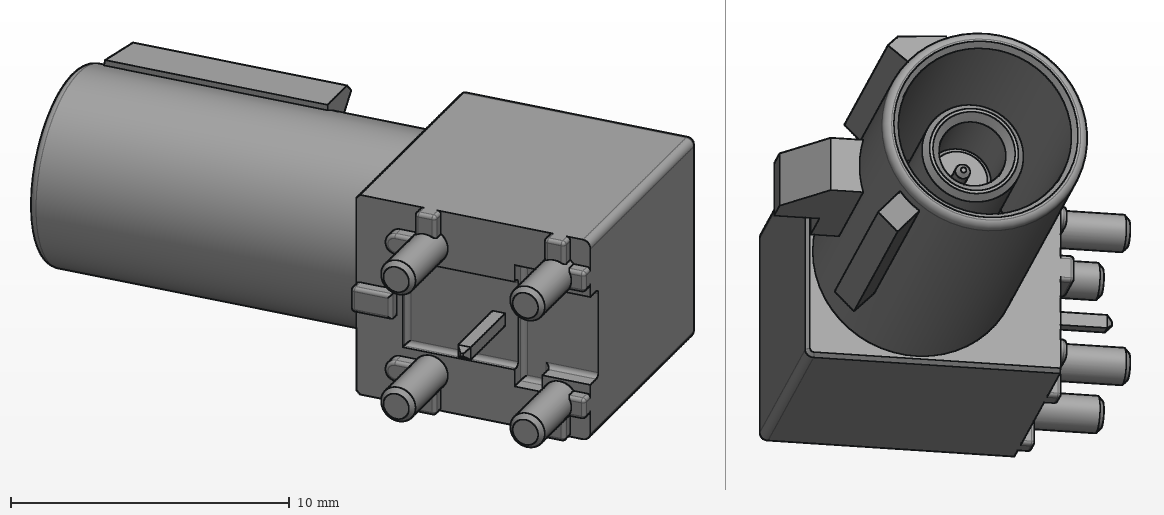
import cadquery as cq
import math


barrel_radius = 3.75
barrel_lip_fillet = 0.3
barrel_embedment = 1.0
bore_radius = 3.16
bore_mouth_chamfer = 0.2
bore_depth = 12.0

tube_front = 2.3
tube_radius = 1.85
tube_rim_outer_radius = 1.62
tube_rim_inner_radius = 1.5
tube_outer_chamfer_length = 0.25
tube_throat_radius = 1.22
tube_throat_length = 0.3
insulator_recess = 3.0
insulator_face_radius = 1.06
insulator_chamfer_length = 0.16
contact_radius = 0.27
contact_tip_radius = 0.1
contact_length = 1.0
contact_tip_length = 0.17
tube_embedment = 1.0

housing_start = 13.6
housing_end = 22.8
housing_half_height = 4.0
housing_back = 4.0
housing_front = -5.3
housing_edge_fillet = 0.3
housing_barrel_side_chamfer = 0.15

latch_half_width = 1.0
latch_start = 4.56
latch_peak_start = 6.5
latch_peak_end = 7.55
latch_end = 9.23
latch_ramp_base = 4.8
latch_step = 4.65
latch_top = 6.3
latch_root = 3.5

key_start = 0.8
key_end = 9.5
key_face_slope = 0.28
key_radial_reach = 4.77
lower_key_width = 1.0
lower_key_root = 3.5
upper_key_width = 3.0
upper_key_root = 2.5
upper_key_flat = 3.74
upper_key_flat_start = 1.3

pin_pitch = 2.54
signal_pin_x = 19.06
signal_pin_width = 0.5
signal_pin_tip_width = 0.12
signal_pin_tip_length = 0.22
signal_pin_end = -8.2
peg_radius = 0.68
peg_chamfer = 0.18
peg_end = -8.3
peg_root = 0.2
standoff_height = 0.5
rib_width = 0.82
rib_fillet = 0.14
rib_round_reach = 1.6
middle_rib_width = 1.0
middle_rib_length = 1.6

recess_floor_fillet = 0.18
shallow_depth = 0.32
shallow_start = 15.42
shallow_half_height = 1.76
deep_depth = 0.7
deep_start = 19.82
deep_wide_end = 20.92
deep_wide_half_height = 2.43
recess_overrun = 1.0

standoff_face = housing_front - standoff_height


def ring_of_revolution(points):
    """Solid swept around the barrel axis from (x, radius) points."""
    return cq.Workplane("XY").polyline(points).close().revolve(360, (0, 0, 0), (1, 0, 0))


def barrel():
    solid = cq.Workplane("YZ").circle(barrel_radius).extrude(housing_start + barrel_embedment)
    return solid.faces("<X").edges().fillet(barrel_lip_fillet)


def mating_cavity():
    return ring_of_revolution([
        (0, 0),
        (0, bore_radius + bore_mouth_chamfer),
        (bore_mouth_chamfer, bore_radius),
        (bore_depth, bore_radius),
        (bore_depth, 0),
    ])


def contact_tube():
    insulator_face = tube_front + insulator_recess
    contact_tip = insulator_face - contact_length
    return ring_of_revolution([
        (bore_depth + tube_embedment, 0),
        (bore_depth + tube_embedment, tube_radius),
        (tube_front + tube_outer_chamfer_length, tube_radius),
        (tube_front, tube_rim_outer_radius),
        (tube_front, tube_rim_inner_radius),
        (tube_front + tube_throat_length, tube_throat_radius),
        (insulator_face + insulator_chamfer_length, tube_throat_radius),
        (insulator_face, insulator_face_radius),
        (insulator_face, contact_radius),
        (contact_tip + contact_tip_length, contact_radius),
        (contact_tip, contact_tip_radius),
        (contact_tip, 0),
    ])


def housing():
    block = cq.Workplane("XY").box(
        housing_end - housing_start,
        housing_back - housing_front,
        2 * housing_half_height,
        centered=False,
    ).translate((housing_start, housing_front, -housing_half_height))
    block = block.edges("(|X and >Y) or (|Z and >Y and >X) or (|Y and >X)").fillet(housing_edge_fillet)
    return block.faces("<X").edges("not <Y").chamfer(housing_barrel_side_chamfer)


def latch():
    outline = [
        (latch_start, latch_root),
        (latch_start, latch_ramp_base),
        (latch_peak_start, latch_top),
        (latch_peak_end, latch_top),
        (latch_peak_end, latch_step),
        (latch_end, latch_step),
        (latch_end, latch_root),
    ]
    return cq.Workplane("XY").polyline(outline).close().extrude(latch_half_width, both=True)


def key_bar(inner_reach, low_offset, high_offset):
    """Bar along the barrel with a sloped front; z is its radial direction before it is turned."""
    front_shift = key_face_slope * (key_radial_reach - barrel_radius)
    inner_shift = key_face_slope * (inner_reach - barrel_radius)
    outline = [
        (key_start + inner_shift, inner_reach),
        (key_start + front_shift, key_radial_reach),
        (key_end, key_radial_reach),
        (key_end, inner_reach),
    ]
    bar = cq.Workplane("XZ").polyline(outline).close().extrude(high_offset - low_offset)
    return bar.translate((0, high_offset, 0))


def lower_key():
    bar = key_bar(lower_key_root, -lower_key_width / 2, lower_key_width / 2)
    return bar.rotate((0, 0, 0), (1, 0, 0), -135)


def upper_key():
    """Wider bar, trimmed to a level top and a side that stands above the barrel."""
    bar = key_bar(upper_key_root, -upper_key_width, 0).rotate((0, 0, 0), (1, 0, 0), -45)
    envelope = cq.Workplane("XY").box(key_end, barrel_radius, upper_key_flat, centered=False)
    return bar.intersect(envelope.translate((0, upper_key_flat_start, 0)))


def recess(start, end, half_height, depth):
    """Straight-walled pocket volume behind the pin face."""
    return (
        cq.Workplane("XZ", origin=(0, housing_front, 0))
        .moveTo((start + end) / 2, 0)
        .rect(end - start, 2 * half_height)
        .extrude(-depth)
    )


def pin_face_recess():
    """Two-level pocket, rounded where its floors meet the walls and open on the +X side."""
    open_end = housing_end + recess_overrun
    shallow = recess(shallow_start, open_end, shallow_half_height, shallow_depth)
    deep_narrow = recess(deep_start, open_end, shallow_half_height, deep_depth)
    deep_wide = recess(deep_start, deep_wide_end, deep_wide_half_height, deep_depth)
    levels = [shallow, deep_narrow.union(deep_wide).clean()]
    shallow, deep = [level.faces(">Y").edges().fillet(recess_floor_fillet) for level in levels]
    return shallow.union(deep)


def rib(x_min, x_max, z_min, z_max, outer_side):
    """Straight rib, rounded on its crest and on the upright corners of its outer end."""
    solid = cq.Workplane("XY").box(x_max - x_min, standoff_height, z_max - z_min, centered=False)
    solid = solid.faces(outer_side).edges("|Y").fillet(rib_fillet)
    solid = solid.faces("<Y").edges().fillet(rib_fillet)
    return solid.translate((x_min, standoff_face, z_min))


def round_ended_rib(peg_x, peg_z):
    """Rib from a peg toward the barrel with a round free end."""
    length = rib_round_reach + rib_width / 2
    solid = (
        cq.Workplane("XZ", origin=(0, housing_front, 0))
        .center(peg_x - rib_round_reach + length / 2, peg_z)
        .slot2D(length, rib_width)
        .extrude(standoff_height)
    )
    return solid.faces("<Y").edges().fillet(rib_fillet)


def peg(x, z):
    solid = (
        cq.Workplane("XZ", origin=(x, housing_front + peg_root, z))
        .circle(peg_radius)
        .extrude(housing_front + peg_root - peg_end)
    )
    return solid.faces("<Y").edges().chamfer(peg_chamfer)


def pegs_and_standoffs():
    half_rib = rib_width / 2
    barrel_side_x = signal_pin_x - pin_pitch
    far_side_x = signal_pin_x + pin_pitch
    solid = rib(
        housing_start,
        housing_start + middle_rib_length,
        -middle_rib_width / 2,
        middle_rib_width / 2,
        "<X",
    )
    for z in (-pin_pitch, pin_pitch):
        solid = solid.union(round_ended_rib(barrel_side_x, z))
        solid = solid.union(rib(far_side_x, housing_end, z - half_rib, z + half_rib, ">X"))
        for x in (barrel_side_x, far_side_x):
            outer_side = ">Z" if z > 0 else "<Z"
            z_min, z_max = sorted((z, math.copysign(housing_half_height, z)))
            solid = solid.union(rib(x - half_rib, x + half_rib, z_min, z_max, outer_side))
            solid = solid.union(peg(x, z))
    return solid


def signal_pin():
    root = housing_front + deep_depth
    shoulder = signal_pin_end + signal_pin_tip_length
    shaft = (
        cq.Workplane("XZ", origin=(signal_pin_x, root, 0))
        .rect(signal_pin_width, signal_pin_width)
        .extrude(root - shoulder)
    )
    tip = (
        cq.Workplane("XZ", origin=(signal_pin_x, shoulder, 0))
        .rect(signal_pin_width, signal_pin_width)
        .workplane(offset=signal_pin_tip_length)
        .rect(signal_pin_tip_width, signal_pin_tip_width)
        .loft()
    )
    return shaft.union(tip)


shell = housing().union(barrel()).union(latch()).union(lower_key()).union(upper_key())
connector = shell.cut(mating_cavity()).union(contact_tube())
connector = connector.cut(pin_face_recess())
result = connector.union(pegs_and_standoffs()).union(signal_pin())